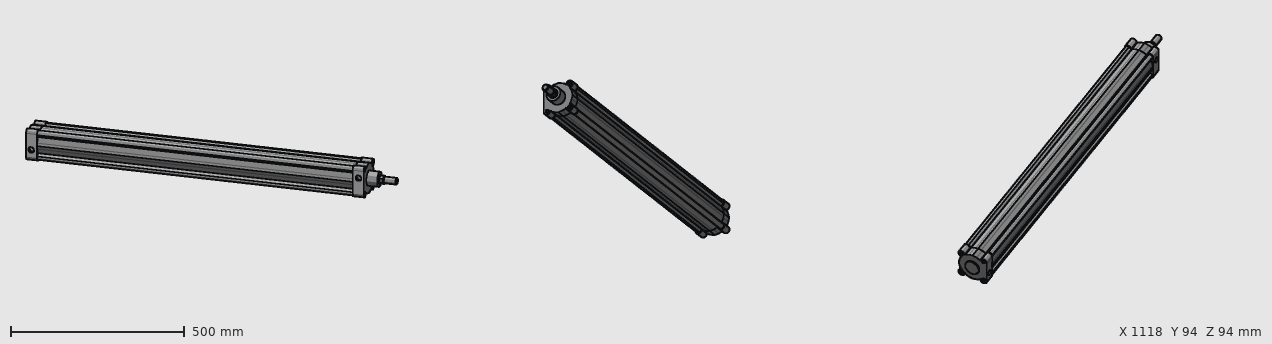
import cadquery as cq
import math


total_length = 1118.0
boss_radius = 22.0
rear_boss_length = 5.0
front_boss_length = 32.0
lip_length = 3.0
lip_radius = 13.0
cap_length = 34.0
caps_span = 1027.0
rear_face = rear_boss_length
tube_start = rear_face + cap_length
front_face = rear_face + caps_span
tube_end = front_face - cap_length
front_boss_end = front_face + front_boss_length
lip_end = front_boss_end + lip_length

half_width = 47.0
core_radius = 45.0
ridge_height = 46.0
cap_lobe_radius = 10.6
tube_lobe_radius = 8.4
lobe_offset = half_width - cap_lobe_radius
cap_ridge_half_width = 12.0
tube_ridge_half_width = 9.0
core_end_offset = 25.0
tube_lobe_edge = 32.0

bolt_offset = 36.0
bolt_hole_radius = 3.0
bolt_hole_depth = 17.0
bolt_counterbore_radius = 5.0
bolt_counterbore_depth = 3.0
port_radius = 8.4
port_depth = 11.0
port_inset = 16.0
port_height = 13.0

rod_radius = 12.0
flats_width = 21.0
flats_length = 8.0
flats_end_gap = 2.0
thread_radius = 10.0
thread_length = 39.0
thread_chamfer = 2.0
thread_start = total_length - thread_length


def on_circle(radius, y):
    """Height of the centred circle above the point y."""
    return math.sqrt(radius**2 - y**2)


def cap_groove():
    """Floor corner of the groove against the core wall, and the point where it meets the lobe."""
    return (core_end_offset, lobe_offset), (lobe_offset - cap_lobe_radius, lobe_offset)


def tube_groove():
    """Foot of the 45 degree flank against the core wall, and the top of the flank on the lobe."""
    edge_z = lobe_offset + on_circle(tube_lobe_radius, lobe_offset - tube_lobe_edge)
    foot_z = edge_z - (tube_lobe_edge - core_end_offset)
    return (core_end_offset, foot_z), (tube_lobe_edge, edge_z)


def profile(start_x, length, ridge_half_width, groove, lobe_radius):
    """Extrude the four-lobed outline, drawn a quarter at a time from ridge to ridge."""
    groove_foot, lobe_start = groove
    core_end = (core_end_offset, on_circle(core_radius, core_end_offset))
    ridge_end = (ridge_half_width, on_circle(core_radius, ridge_half_width))
    middle_angle = (math.atan2(*ridge_end) + math.atan2(*core_end)) / 2
    core_middle = (core_radius * math.sin(middle_angle), core_radius * math.cos(middle_angle))
    lobe_tip = lobe_offset + lobe_radius / math.sqrt(2)

    outline = cq.Workplane("YZ", origin=(start_x, 0, 0)).moveTo(0, ridge_height)
    for quarter in range(4):
        cos_turn = round(math.cos(quarter * math.pi / 2))
        sin_turn = round(math.sin(quarter * math.pi / 2))

        def turned(y, z):
            return (y * cos_turn + z * sin_turn, z * cos_turn - y * sin_turn)

        def mirrored(point):
            return turned(point[1], point[0])

        outline = outline.lineTo(*turned(*ridge_end))
        outline = outline.threePointArc(turned(*core_middle), turned(*core_end))
        outline = outline.lineTo(*turned(*groove_foot))
        outline = outline.lineTo(*turned(*lobe_start))
        outline = outline.threePointArc(turned(lobe_tip, lobe_tip), mirrored(lobe_start))
        outline = outline.lineTo(*mirrored(groove_foot))
        outline = outline.lineTo(*mirrored(core_end))
        outline = outline.threePointArc(mirrored(core_middle), mirrored(ridge_end))
        if quarter < 3:
            outline = outline.lineTo(*turned(ridge_height, 0))
    return outline.close().extrude(length)


def cylinder(start_x, length, radius):
    """Round bar along X; a negative length runs toward -X."""
    return cq.Workplane("YZ", origin=(start_x, 0, 0)).circle(radius).extrude(length)


def make_cap(outer_face, outward, boss_length, port_z):
    """End cap whose outer face looks along outward (-1 or 1 in X)."""
    start_x = min(outer_face, outer_face - outward * cap_length)
    cap = profile(start_x, cap_length, cap_ridge_half_width, cap_groove(), cap_lobe_radius)

    port_side = (
        cq.Workplane("XY")
        .box(cap_length, half_width, 2 * lobe_offset, centered=(False, False, True))
        .translate((start_x, -half_width, 0))
    )
    cap = cap.union(port_side)

    cap = cap.union(cylinder(outer_face, outward * boss_length, boss_radius))

    port = (
        cq.Workplane("XZ", origin=(outer_face - outward * port_inset, -half_width, port_z))
        .circle(port_radius)
        .extrude(-port_depth)
    )
    cap = cap.cut(port)

    for radius, depth in (
        (bolt_hole_radius, bolt_hole_depth),
        (bolt_counterbore_radius, bolt_counterbore_depth),
    ):
        holes = (
            cq.Workplane("YZ", origin=(outer_face, 0, 0))
            .rect(2 * bolt_offset, 2 * bolt_offset, forConstruction=True)
            .vertices()
            .circle(radius)
            .extrude(-outward * depth)
        )
        cap = cap.cut(holes)
    return cap


def make_front_cap():
    """Front cap with a lip around the rod and a bore that guides the rod."""
    cap = make_cap(front_face, 1, front_boss_length, port_height)
    cap = cap.union(cylinder(front_boss_end, lip_length, lip_radius))
    return cap.cut(cylinder(tube_end, lip_end - tube_end, rod_radius))


def make_tube():
    """Barrel between the two caps, with a rounded lobe along each corner."""
    tube_length = tube_end - tube_start
    return profile(tube_start, tube_length, tube_ridge_half_width, tube_groove(), tube_lobe_radius)


def make_rod():
    """Piston rod from the tube end out through the front cap, with flats and a threaded end."""
    rod = cylinder(tube_end, thread_start - tube_end, rod_radius)
    flats_end = thread_start - flats_end_gap
    for side in (-1, 1):
        flat = (
            cq.Workplane("XY")
            .box(flats_length, rod_radius, 2 * rod_radius)
            .translate((flats_end - flats_length / 2, side * (flats_width + rod_radius) / 2, 0))
        )
        rod = rod.cut(flat)
    thread = cylinder(thread_start, thread_length, thread_radius)
    return rod.union(thread.faces("<X or >X").chamfer(thread_chamfer))


rear_cap = make_cap(rear_face, -1, rear_boss_length, -port_height)
tube = make_tube()
rod = make_rod()
front_cap = make_front_cap()

result = cq.Compound.makeCompound([rear_cap.val(), tube.val(), front_cap.val(), rod.val()])